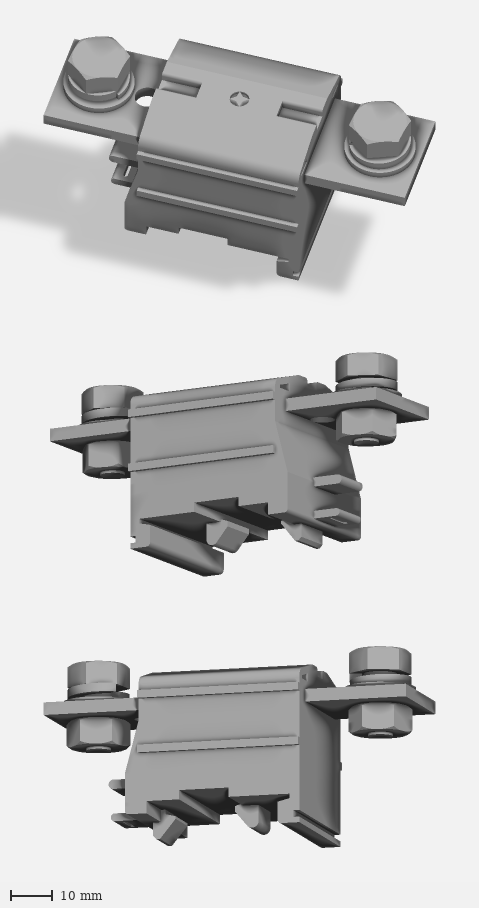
import cadquery as cq
import math


root_overlap = 0.9

half_length = 20.0
half_width = 17.5
height = 40.1
flat_half_width = 6.2
roof_angle = 15
eave_radius = 2.5
lower_left_x = -23.4
slant_bottom_z = 13.9
slant_top_z = 26.6
left_base_z = 4.05
left_step_x = -18.0
base_corner_radius = 0.9
rail_z = 7.0
rail_gap_left_x = -9.9
rail_gap_right_x = 2.3
rail_gap_z = 9.3

foot_left_x = 14.5
foot_hook_x = 17.55
foot_tip_z = 5.2
foot_hook_z = 5.9
foot_corner_radius = 1.1
foot_slot_bottom_z = 1.35
foot_slot_top_z = 3.0
foot_slot_x = 18.5

overall_width = 37.2
rib_height = 1.9
rib_bottoms_z = (18.7, 31.95)

window_inner_y = 10.4
window_outer_y = 15.1
window_bottom_z = 35.3
window_inner_z = 37.3
roof_slot_length = 10.0
roof_slot_width = 5.8
roof_slot_depth = 2.2
roof_slot_rounding = 0.7
screw_diameter = 4.7
screw_depth = 0.7
star_tips = 4
star_inner_radius = 1.1
star_rotation = 15
star_draft = 30

clip_width = 10.1
left_hook_neck_x = -16.9
left_hook_tip_x = -14.4
left_hook_tip_z = 5.3
left_hook_tip_height = 0.6
left_hook_point_x = -18.3
left_hook_heel = 0.8
middle_hook_top_z = 7.65
middle_hook_tip_x = 0.4
middle_hook_tip_z = 5.7
middle_hook_arc_x = 3.5
middle_hook_arc_z = 2.0
middle_hook_low_x = 5.0
middle_hook_low_z = 1.6
middle_hook_back_x = 6.2
middle_hook_back_z = 3.0
upper_tab_x = -31.05
upper_tab_bottom_z = 12.7
upper_tab_thickness = 2.25
lower_tab_x = -30.5
lower_tab_bottom_z = 4.9
lower_tab_thickness = 1.9
tab_nose_length = 0.9
tab_slot_x = -27.45
tab_slot_length = 7.2
tab_slot_width = 1.1

bar_length = 90.0
bar_width = 25.2
bar_bottom_z = 30.1
bar_thickness = 3.1
bar_top_z = bar_bottom_z + bar_thickness
bar_hole_x = -22.95
bar_hole_diameter = 6.0

bolt_x = 35.0
right_bolt_turn = -120
shank_diameter = 8.0
tip_diameter = 5.9
tip_z = 23.0
washer_diameter = 17.0
washer_thickness = 1.6
spring_outer_diameter = 14.8
spring_inner_diameter = 8.8
spring_thickness = 2.1
spring_sink_in_washer = 0.45
spring_sink_in_head = 0.3
spring_turn = 355
spring_start = -34
head_bottom_z = 38.2
head_top_z = 43.7
head_across_flats = 13.0
head_turn = -7.5
head_face_diameter = 12.8
head_chamfer_height = 0.6
nut_height = 6.4
nut_across_flats = 13.2
nut_turn = -19
nut_face_diameter = 13.5
nut_chamfer_height = 0.6

roof_slope = math.tan(math.radians(roof_angle))


def across_width(points, width):
    """Extrude an outline of (x, z) points, centred on Y = 0."""
    return cq.Workplane("XZ").polyline(points).close().extrude(width / 2, both=True)


def along_length(points):
    """Extrude an outline of (y, z) points over the whole housing length."""
    return cq.Workplane("YZ").polyline(points).close().extrude(half_length, both=True)


def box(x_range, y_range, z_range):
    sizes = [high - low for low, high in (x_range, y_range, z_range)]
    corner = (x_range[0], y_range[0], z_range[0])
    return cq.Workplane("XY").box(*sizes, centered=False).translate(corner)


def make_housing():
    outline = [
        (-half_length, height),
        (-half_length, slant_top_z),
        (lower_left_x, slant_bottom_z),
        (lower_left_x, left_base_z),
        (left_step_x, left_base_z),
        (left_step_x, rail_z),
        (rail_gap_left_x, rail_z),
        (rail_gap_left_x, rail_gap_z),
        (rail_gap_right_x, rail_gap_z),
        (rail_gap_right_x, rail_z),
        (foot_hook_x, rail_z),
        (foot_hook_x, foot_hook_z),
        (foot_left_x, foot_tip_z),
        (foot_left_x, 0),
        (half_length, 0),
        (half_length, foot_slot_bottom_z),
        (foot_slot_x, foot_slot_bottom_z),
        (foot_slot_x, foot_slot_top_z),
        (half_length, foot_slot_top_z),
        (half_length, height),
    ]
    housing = across_width(outline, 2 * half_width)
    left_corner = cq.selectors.NearestToPointSelector((lower_left_x, 0, left_base_z))
    housing = housing.edges(left_corner).fillet(base_corner_radius)
    foot_corner = cq.selectors.NearestToPointSelector((foot_left_x, 0, 0))
    housing = housing.edges(foot_corner).fillet(foot_corner_radius)

    eave_z = height - (half_width - flat_half_width) * roof_slope
    for side in (-1, 1):
        corner_y = side * half_width
        above_roof = [(side * flat_half_width, height), (corner_y, height), (corner_y, eave_z)]
        housing = housing.cut(along_length(above_roof))
        eave = cq.selectors.NearestToPointSelector((0, corner_y, eave_z))
        housing = housing.edges(eave).fillet(eave_radius)
    return housing


def make_ribs():
    outer_y = overall_width / 2
    ribs = cq.Workplane("XY")
    for bottom_z in rib_bottoms_z:
        span_z = (bottom_z, bottom_z + rib_height)
        for span_y in ((-outer_y, root_overlap - half_width), (half_width - root_overlap, outer_y)):
            ribs = ribs.add(box((-half_length, half_length), span_y, span_z))
    return ribs.combine()


def cut_roof_windows(housing):
    outer_z = window_inner_z - (window_outer_y - window_inner_y) * roof_slope
    for side in (-1, 1):
        window = along_length([
            (side * window_inner_y, window_bottom_z),
            (side * window_outer_y, window_bottom_z),
            (side * window_outer_y, outer_z),
            (side * window_inner_y, window_inner_z),
        ])
        housing = housing.cut(window)
    return housing


def cut_roof_slots(housing):
    """Open a slot with rounded long edges at each end of the flat roof."""
    half_top = roof_slot_width / 2
    half_floor = half_top - roof_slot_rounding
    floor_z = height - roof_slot_depth
    round_z = height - roof_slot_rounding
    arc_drop = roof_slot_rounding * (1 - math.sqrt(0.5))
    section = (
        cq.Workplane("YZ")
        .moveTo(-half_top, height)
        .threePointArc((-half_floor - arc_drop, height - arc_drop), (-half_floor, round_z))
        .lineTo(-half_floor, floor_z)
        .lineTo(half_floor, floor_z)
        .lineTo(half_floor, round_z)
        .threePointArc((half_floor + arc_drop, height - arc_drop), (half_top, height))
        .close()
        .extrude(half_length, both=True)
    )
    middle = half_length - roof_slot_length
    keep = box((-middle, middle), (-half_width, half_width), (0, height))
    return housing.cut(section.cut(keep))


def cut_screw_head(housing):
    """Sink a round pocket in the roof around a flush star that widens towards the floor."""
    star_points = []
    for corner in range(2 * star_tips):
        radius = screw_diameter / 2 if corner % 2 == 0 else star_inner_radius
        angle = math.radians(star_rotation + 180 / star_tips * corner)
        star_points.append((radius * math.cos(angle), radius * math.sin(angle)))
    roof = cq.Workplane("XY").workplane(offset=height)
    pocket = roof.circle(screw_diameter / 2).extrude(-screw_depth)
    star = roof.polyline(star_points).close().extrude(-screw_depth, taper=-star_draft)
    return housing.cut(pocket.cut(star))


def make_clip_hooks():
    root_z = rail_z + root_overlap
    left_hook = across_width([
        (left_hook_neck_x, root_z),
        (left_hook_neck_x, foot_hook_z),
        (left_hook_tip_x, left_hook_tip_z),
        (left_hook_tip_x, left_hook_tip_z - left_hook_tip_height),
        (left_hook_point_x, 0),
        (-half_length + left_hook_heel, 0),
        (-half_length, left_hook_heel),
        (-half_length, root_z),
    ], clip_width)
    middle_hook = (
        cq.Workplane("XZ")
        .moveTo(rail_gap_right_x, middle_hook_top_z)
        .lineTo(middle_hook_tip_x, rail_z)
        .lineTo(middle_hook_tip_x, middle_hook_tip_z)
        .lineTo(middle_hook_arc_x, middle_hook_arc_z)
        .threePointArc((middle_hook_low_x, middle_hook_low_z), (middle_hook_back_x, middle_hook_back_z))
        .lineTo(middle_hook_back_x, root_z)
        .lineTo(rail_gap_right_x, root_z)
        .close()
        .extrude(clip_width / 2, both=True)
    )
    return left_hook.union(middle_hook)


def make_tab(end_x, bottom_z, thickness):
    """Flat tab with a rounded nose, running into the housing."""
    nose_x = end_x + tab_nose_length
    return (
        cq.Workplane("XZ")
        .moveTo(left_step_x, bottom_z)
        .lineTo(nose_x, bottom_z)
        .threePointArc((end_x, bottom_z + thickness / 2), (nose_x, bottom_z + thickness))
        .lineTo(left_step_x, bottom_z + thickness)
        .close()
        .extrude(clip_width / 2, both=True)
    )


def make_tabs():
    upper = make_tab(upper_tab_x, upper_tab_bottom_z, upper_tab_thickness)
    lower = make_tab(lower_tab_x, lower_tab_bottom_z, lower_tab_thickness)
    slot = (
        cq.Workplane("XY")
        .workplane(offset=lower_tab_bottom_z)
        .center(tab_slot_x, 0)
        .slot2D(tab_slot_length, tab_slot_width, 90)
        .extrude(lower_tab_thickness)
    )
    return upper.union(lower.cut(slot))


def make_busbar():
    bar = box(
        (-bar_length / 2, bar_length / 2),
        (-bar_width / 2, bar_width / 2),
        (bar_bottom_z, bar_top_z),
    )
    hole = (
        cq.Workplane("XY")
        .workplane(offset=bar_bottom_z)
        .center(bar_hole_x, 0)
        .circle(bar_hole_diameter / 2)
        .extrude(bar_thickness)
    )
    return bar.cut(hole)


def cylinder(diameter, bottom_z, top_z):
    return cq.Workplane("XY").workplane(offset=bottom_z).circle(diameter / 2).extrude(top_z - bottom_z)


def hexagon(bottom_z, top_z, across_flats, turn, face_diameter, chamfer_height, chamfered_ends):
    """Hexagonal prism whose corners are turned down to a round face at the chosen ends."""
    corner_diameter = across_flats / math.cos(math.pi / 6)
    prism = (
        cq.Workplane("XY")
        .workplane(offset=bottom_z)
        .polygon(6, corner_diameter)
        .extrude(top_z - bottom_z)
        .rotate((0, 0, 0), (0, 0, 1), 90 + turn)
    )
    chamfer_width = (corner_diameter - face_diameter) / 2
    blank = cylinder(corner_diameter, bottom_z, top_z)
    for end in chamfered_ends:
        blank = blank.faces(end).edges().chamfer(chamfer_height, chamfer_width)
    return prism.intersect(blank)


def make_spring_washer():
    """Single coil of rectangular section, rising from the flat washer to the bolt head."""
    start_z = bar_top_z + washer_thickness - spring_sink_in_washer
    rise = head_bottom_z + spring_sink_in_head - start_z - spring_thickness
    inner_radius = spring_inner_diameter / 2
    outer_radius = spring_outer_diameter / 2
    mean_radius = (inner_radius + outer_radius) / 2
    pitch = rise * 360 / spring_turn
    path = cq.Workplane("XY").add(cq.Wire.makeHelix(pitch, rise, mean_radius))
    coil = (
        cq.Workplane("XZ")
        .center(mean_radius, 0)
        .rect(outer_radius - inner_radius, spring_thickness)
        .sweep(path, isFrenet=True)
    )
    return coil.rotate((0, 0, 0), (0, 0, 1), spring_start).translate((0, 0, start_z + spring_thickness / 2))


def make_bolt():
    nut_bottom_z = bar_bottom_z - nut_height
    shank = cylinder(shank_diameter, nut_bottom_z, head_bottom_z)
    tip = cylinder(tip_diameter, tip_z, nut_bottom_z)
    washer = cylinder(washer_diameter, bar_top_z, bar_top_z + washer_thickness)
    head = hexagon(
        head_bottom_z, head_top_z, head_across_flats, head_turn,
        head_face_diameter, head_chamfer_height, [">Z"],
    )
    nut = hexagon(
        nut_bottom_z, bar_bottom_z, nut_across_flats, nut_turn,
        nut_face_diameter, nut_chamfer_height, ["<Z", ">Z"],
    )
    bolt = shank
    for piece in (tip, washer, head, nut, make_spring_washer()):
        bolt = bolt.union(piece)
    return bolt


housing = make_housing().union(make_ribs())
housing = cut_roof_windows(housing)
housing = cut_roof_slots(housing)
housing = cut_screw_head(housing)

bolt = make_bolt()
left_bolt = bolt.translate((-bolt_x, 0, 0))
right_bolt = bolt.rotate((0, 0, 0), (0, 0, 1), right_bolt_turn).translate((bolt_x, 0, 0))

result = housing
for piece in (make_clip_hooks(), make_tabs(), make_busbar(), left_bolt, right_bolt):
    result = result.union(piece)